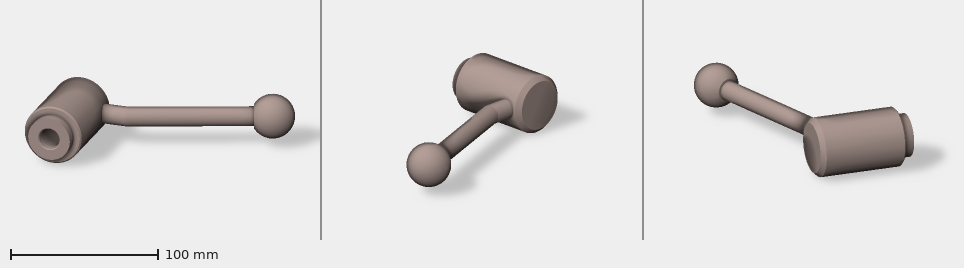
import cadquery as cq
import math

body_diameter = 41.0
hub_length = 68.4
nose_diameter = 30.0
nose_length = 7.5
back_chamfer = 3.3
front_chamfer = 1.0

bore_diameter = 14.5
bore_depth = 29.6
drill_point_angle = 118
mouth_diameter = 16.0

arm_diameter = 13.5
arm_height = 56.4
bend_angle = 20
ball_diameter = 30.4
ball_flat_diameter = 17.0
overall_length = 164.5
overall_width = 105.4

body_radius = body_diameter / 2
nose_radius = nose_diameter / 2
bore_radius = bore_diameter / 2
mouth_radius = mouth_diameter / 2
arm_radius = arm_diameter / 2
ball_radius = ball_diameter / 2

ball_x = overall_length - body_radius - ball_radius
ball_y = overall_width - ball_radius
bend = math.radians(bend_angle)
bend_x = ball_x - (ball_y - arm_height) / math.tan(bend)
sloped_length = math.hypot(ball_x - bend_x, ball_y - arm_height)


def make_hub():
    """Stepped body with chamfered rims, turned about the Y axis."""
    return (
        cq.Workplane("XY")
        .moveTo(0, 0)
        .lineTo(nose_radius, 0)
        .lineTo(nose_radius, nose_length)
        .lineTo(body_radius - front_chamfer, nose_length)
        .lineTo(body_radius, nose_length + front_chamfer)
        .lineTo(body_radius, hub_length - back_chamfer)
        .lineTo(body_radius - back_chamfer, hub_length)
        .lineTo(0, hub_length)
        .close()
        .revolve(360, (0, 0, 0), (0, 1, 0))
    )


def make_bore():
    """Blind drilled hole with a 45 degree countersunk mouth."""
    mouth_depth = mouth_radius - bore_radius
    point_depth = bore_radius / math.tan(math.radians(drill_point_angle / 2))
    return (
        cq.Workplane("XY")
        .moveTo(0, 0)
        .lineTo(mouth_radius, 0)
        .lineTo(bore_radius, mouth_depth)
        .lineTo(bore_radius, bore_depth)
        .lineTo(0, bore_depth + point_depth)
        .close()
        .revolve(360, (0, 0, 0), (0, 1, 0))
    )


def make_arm():
    """Straight stub from the hub, a round elbow and the sloped rod."""
    stub_start = body_radius / 2
    stub = (
        cq.Workplane("YZ", origin=(stub_start, arm_height, 0))
        .circle(arm_radius)
        .extrude(bend_x - stub_start)
    )
    elbow = cq.Workplane("XY").sphere(arm_radius).translate((bend_x, arm_height, 0))
    slope_plane = cq.Plane(
        origin=(bend_x, arm_height, 0),
        xDir=(0, 0, 1),
        normal=(math.cos(bend), math.sin(bend), 0),
    )
    rod = cq.Workplane(slope_plane).circle(arm_radius).extrude(sloped_length)
    return stub.union(elbow).union(rod)


def make_ball():
    """Knob with a flat where the rod enters, square to the rod."""
    flat_offset = math.sqrt(ball_radius**2 - (ball_flat_diameter / 2) ** 2)
    profile = (
        cq.Workplane("XY")
        .moveTo(-flat_offset, 0)
        .lineTo(-flat_offset, ball_flat_diameter / 2)
        .threePointArc((0, ball_radius), (ball_radius, 0))
        .close()
    )
    ball = profile.revolve(360, (0, 0, 0), (1, 0, 0))
    return ball.rotate((0, 0, 0), (0, 0, 1), bend_angle).translate((ball_x, ball_y, 0))


result = make_hub().cut(make_bore()).union(make_arm()).union(make_ball())